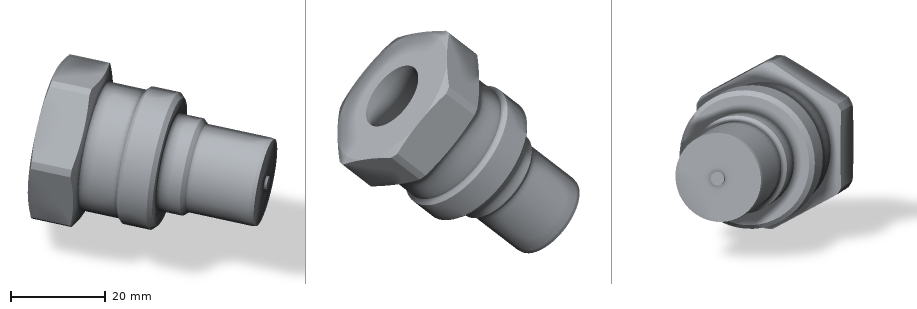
import cadquery as cq
import math

across_flats = 32.0
corner_diameter = 36.0
front_chamfer_length = 0.7
back_chamfer_start = 9.45
head_end = 10.6

neck_radius = 14.0
collar_start = 18.95
collar_end = 26.9
collar_radius = 15.0
collar_chamfer = 0.95
step_radius = 10.6
step_end = 33.15
step_chamfer_length = 1.05
spigot_radius = 9.65
spigot_end = 48.05
spigot_chamfer_length = 0.8
spigot_chamfer_depth = 0.15
pin_radius = 1.5
total_length = 48.65

bore_radius = 7.65
bore_depth = 15.1
drill_point_angle = 118.0


def revolve_about_x(profile):
    """Revolve (x, radius) points, closed along the X axis, into a solid."""
    points = [(profile[0][0], 0), *profile]
    end_x, end_radius = profile[-1]
    if end_radius > 0:
        points.append((end_x, 0))
    outline = cq.Workplane("XY").polyline(points).close()
    return outline.revolve(360, (0, 0, 0), (1, 0, 0))


def make_head():
    """Hexagonal prism trimmed by a turned, chamfered envelope."""
    circumscribed_diameter = across_flats / math.cos(math.radians(30))
    prism = (
        cq.Workplane("YZ")
        .polygon(6, circumscribed_diameter)
        .extrude(head_end)
        .rotate((0, 0, 0), (1, 0, 0), 90)
    )
    envelope = revolve_about_x([
        (0, across_flats / 2),
        (front_chamfer_length, corner_diameter / 2),
        (back_chamfer_start, corner_diameter / 2),
        (head_end, neck_radius),
    ])
    return prism.intersect(envelope)


def make_body():
    """Neck, collar, step, spigot and end pin as one turned shape."""
    return revolve_about_x([
        (0, neck_radius),
        (collar_start, neck_radius),
        (collar_start + collar_radius - neck_radius, collar_radius),
        (collar_end - collar_chamfer, collar_radius),
        (collar_end, collar_radius - collar_chamfer),
        (collar_end, step_radius),
        (step_end - step_chamfer_length, step_radius),
        (step_end, spigot_radius),
        (spigot_end - spigot_chamfer_length, spigot_radius),
        (spigot_end, spigot_radius - spigot_chamfer_depth),
        (spigot_end, pin_radius),
        (total_length, pin_radius),
    ])


def make_bore():
    """Blind hole with a conical drill point."""
    point_length = bore_radius / math.tan(math.radians(drill_point_angle / 2))
    return revolve_about_x([
        (0, bore_radius),
        (bore_depth, bore_radius),
        (bore_depth + point_length, 0),
    ])


result = make_head().union(make_body()).cut(make_bore())